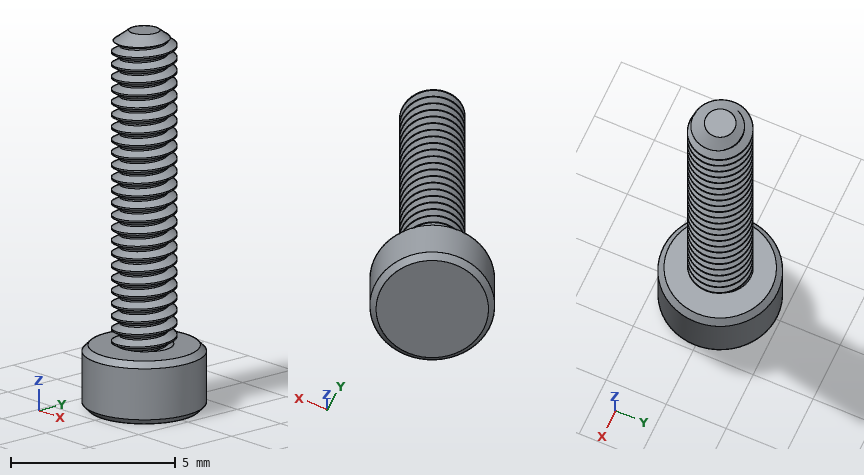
import cadquery as cq
import math

head_diameter = 3.8
head_height = 2.0
head_chamfer = 0.19

thread_diameter = 2.0
root_diameter = 1.48
pitch = 0.4
thread_length = 10.0
thread_flank_angle = 30.0
root_flat = pitch / 8
root_start_height = 1.66

tip_diameter = 2 * root_diameter - thread_diameter
tip_cone_height = 0.38

total_height = head_height + thread_length
thread_radius = thread_diameter / 2
root_radius = root_diameter / 2
groove_overshoot = 0.02


def make_head():
    """Plain cylindrical head with both rims chamfered."""
    head = cq.Workplane("XY").circle(head_diameter / 2).extrude(head_height)
    return head.edges().chamfer(head_chamfer)


def make_blank_shank():
    """Unthreaded shank, tapering to a flat tip."""
    tip_base = total_height - tip_cone_height
    return (
        cq.Workplane("XZ")
        .moveTo(0, head_height)
        .lineTo(thread_radius, head_height)
        .lineTo(thread_radius, tip_base)
        .lineTo(tip_diameter / 2, total_height)
        .lineTo(0, total_height)
        .close()
        .revolve(360, (0, 0), (0, 1))
    )


def make_thread_groove():
    """Right-handed V groove with a flat root, running past both ends of the shank.

    Each turn has one ruled face per side of the trapezoidal section, each between two helices.
    Whole turns leave both end faces in the XZ plane.
    """
    turns = math.ceil((total_height - root_start_height) / pitch) + 1
    outer_radius = thread_radius + groove_overshoot
    flank_rise = (outer_radius - root_radius) * math.tan(math.radians(thread_flank_angle))
    root_half = root_flat / 2
    mouth_half = root_half + flank_rise
    section = [
        (root_radius, -root_half),
        (outer_radius, -mouth_half),
        (outer_radius, mouth_half),
        (root_radius, root_half),
    ]

    one_turn = []
    for radius, height in section:
        helix = cq.Wire.makeHelix(pitch, pitch, radius)
        one_turn.append(helix.translate(cq.Vector(0, 0, height)))

    faces = []
    for turn in range(turns):
        lift = cq.Vector(0, 0, turn * pitch)
        for index, helix in enumerate(one_turn):
            next_helix = one_turn[(index + 1) % len(one_turn)]
            faces.append(cq.Face.makeRuledSurface(helix, next_helix).translate(lift))
    corners = [cq.Vector(radius, 0, height) for radius, height in section]
    start_face = cq.Face.makeFromWires(cq.Wire.makePolygon(corners, close=True))
    faces.append(start_face)
    faces.append(start_face.translate(cq.Vector(0, 0, turns * pitch)))

    groove = cq.Solid.makeSolid(cq.Shell.makeShell(faces))
    return groove.translate(cq.Vector(0, 0, root_start_height))


threaded_shank = make_blank_shank().cut(cq.Workplane(make_thread_groove()))
result = make_head().union(threaded_shank).solids()